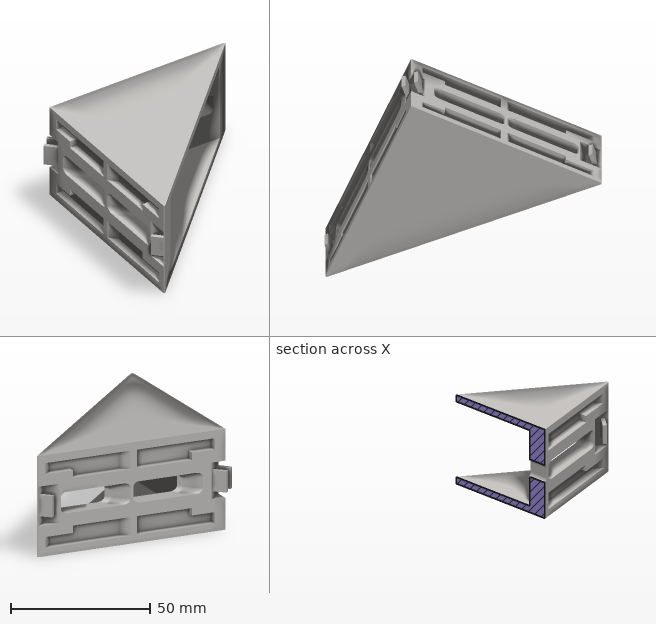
import cadquery as cq
import math


leg_length = 75.2
height = 38.0
leg_thickness = 7.0
plate_thickness = 3.0
tip_cut = 0.4
tip_start = leg_length - tip_cut

slot_starts = (8.9, 37.9)
slot_length = 27.9
slot_height = 8.0
slot_radius = 2.0

pocket_depth = 3.0
pocket_height = 7.0
pocket_narrow_height = 4.2
pocket_top = height / 2 - plate_thickness
near_pocket_start = 4.4
near_pocket_step = 13.4
near_pocket_end = 35.4
far_pocket_start = 37.9
far_pocket_step = 61.0
far_pocket_end = 71.9

corner_notch_leg = 5.5
corner_notch_height = 14.0
end_notch_start = 66.4
end_notch_height = 15.0
end_notch_depth = (tip_start - end_notch_start) / 2

tab_height = 8.0
tab_thickness = 1.5
corner_tab_length = 5.4
corner_tab_reach = 4.4
end_tab_length = 4.9
end_tab_reach = 72.8


def prism(outline, z_size):
    """Vertical prism over a plan outline, centred on Z = 0."""
    return cq.Workplane("XY").polyline(outline).close().extrude(z_size / 2, both=True)


def on_x_leg(shape):
    return shape


def on_y_leg(shape):
    """Swap X and Y, which carries a feature of the X leg over to the Y leg."""
    return shape.rotate((0, 0, 0), (0, 0, 1), -90).mirror("XZ")


def body():
    """Two legs joined by a top and a bottom plate, open along the long edge."""
    outline = [(0, 0), (tip_start, 0), (leg_length, tip_cut), (tip_cut, leg_length), (0, tip_start)]
    inside = [(leg_thickness, leg_thickness), (leg_length, leg_thickness),
              (leg_length, leg_length), (leg_thickness, leg_length)]
    return prism(outline, height).cut(prism(inside, height - 2 * plate_thickness))


def slot(start):
    """Slot whose corner-side end runs at 45 degrees and whose other end is square to the leg."""
    end = start + slot_length
    outline = [(start, 0), (end, 0), (end, leg_thickness), (start + leg_thickness, leg_thickness)]
    return prism(outline, slot_height).edges("#Z and (not |X)").fillet(slot_radius)


def stepped_pocket(wide_outline, narrow_outline):
    """Pocket of the upper half: a full-height part and a narrow part sharing one top face."""
    wide_centre = pocket_top - pocket_height / 2
    narrow_centre = pocket_top - pocket_narrow_height / 2
    wide = prism(wide_outline, pocket_height).translate((0, 0, wide_centre))
    narrow = prism(narrow_outline, pocket_narrow_height).translate((0, 0, narrow_centre))
    return wide.union(narrow)


def pocket_outline(mouth_start, mouth_end, floor_start, floor_end):
    return [(mouth_start, 0), (mouth_end, 0), (floor_end, pocket_depth), (floor_start, pocket_depth)]


def near_pocket():
    """Pocket beside the corner, with square ends."""
    return stepped_pocket(
        pocket_outline(near_pocket_step, near_pocket_end, near_pocket_step, near_pocket_end),
        pocket_outline(near_pocket_start, near_pocket_end, near_pocket_start, near_pocket_end),
    )


def far_pocket():
    """Pocket beside the tip, with both ends sloping inward at 45 degrees."""
    floor_start = far_pocket_start + pocket_depth
    floor_end = far_pocket_end - pocket_depth
    return stepped_pocket(
        pocket_outline(far_pocket_start, far_pocket_step, floor_start, far_pocket_step),
        pocket_outline(far_pocket_start, far_pocket_end, floor_start, floor_end),
    )


def corner_notch():
    return prism([(0, 0), (corner_notch_leg, 0), (0, corner_notch_leg)], corner_notch_height)


def end_notch():
    apex = (end_notch_start + end_notch_depth, end_notch_depth)
    return prism([(end_notch_start, 0), apex, (tip_start, 0)], end_notch_height)


def tab(notch_reach, tab_reach, length):
    """Slat standing square on the 45-degree notch face X + Y = notch_reach."""
    root_x = (notch_reach + tab_reach) / 2
    root_y = (notch_reach - tab_reach) / 2
    along = length / math.sqrt(2)
    across = tab_thickness / math.sqrt(2)
    outline = [
        (root_x, root_y),
        (root_x - along, root_y - along),
        (root_x - along - across, root_y - along + across),
        (root_x - across, root_y + across),
    ]
    return prism(outline, tab_height)


def add_leg_features(part, place):
    for start in slot_starts:
        part = part.cut(place(slot(start)))
    for pocket in (near_pocket(), far_pocket()):
        part = part.cut(place(pocket))
        part = part.cut(place(pocket.mirror("XY")))
    part = part.cut(place(end_notch()))
    part = part.union(place(tab(corner_notch_leg, corner_tab_reach, corner_tab_length)))
    return part.union(place(tab(tip_start, end_tab_reach, end_tab_length)))


result = body().cut(corner_notch())
for place_on_leg in (on_x_leg, on_y_leg):
    result = add_leg_features(result, place_on_leg)